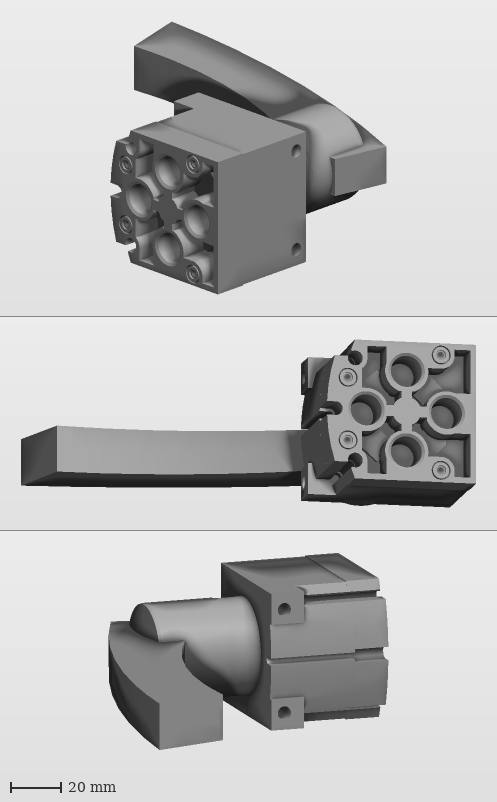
import cadquery as cq
import math

OVERALL_LENGTH = 156.8

PLATE_THICKNESS = 14.0
HOUSING_REAR = 49.2
NECK_REAR = 61.6
EAR_FRONT = 35.5

PLATE_HALF_HEIGHT = 56.3 / 2
HOUSING_HALF_HEIGHT = 27.8
BLOCK_RIGHT = PLATE_HALF_HEIGHT
BLOCK_WIDTH = 60.5
BLOCK_LEFT = BLOCK_RIGHT - BLOCK_WIDTH
SHOULDER_X = -29.2
LIP_X, LIP_Z = -22.6, 24.0
NOTCH_X = -21.0
LEDGE_Z = 21.5
CHANNEL_X, CHANNEL_Z = -20.9, 20.7
PLATE_CHANNEL_DIAMETER = 6.0
HOUSING_CHANNEL_DIAMETER = 5.5
PLATE_SLOT_WIDTH = 5.5
PLATE_SLOT_END = -26.0
HOUSING_SLOT_WIDTH = 3.0
HOUSING_SLOT_END = -26.8

EAR_INNER_Z = 15.2
EAR_HOLE_DIAMETER = 5.5
EAR_SCREW_HOLE_DIAMETER = 4.0
EAR_SCREW_HOLE_DEPTH = 3.9
EAR_HOLE_Y, EAR_HOLE_Z = 43.7, 21.0

PORT_OFFSET = 16.3
PORT_MOUTH_DIAMETER = 14.7
PORT_TOP_DIAMETER = 12.5
PORT_BOTTOM_DIAMETER = 10.8
PORT_CHAMFER_DEPTH = 0.8
PORT_DEPTH = 12.5
PORT_ANGLES = (0, 90, 180, 270)

LEFT_SCREW_X, LEFT_SCREW_Z = -23.8, 12.7
RIGHT_SCREW_X, RIGHT_SCREW_Z = 14.0, 23.4
SCREW_CENTRES = [
    (LEFT_SCREW_X, LEFT_SCREW_Z),
    (LEFT_SCREW_X, -LEFT_SCREW_Z),
    (RIGHT_SCREW_X, RIGHT_SCREW_Z),
    (RIGHT_SCREW_X, -RIGHT_SCREW_Z),
]
SCREW_RECESS_DIAMETER = 7.7
SCREW_HEAD_DIAMETER = 6.6
SCREW_RECESS_DEPTH = 1.5
SOCKET_DIAMETER = 4.0
SOCKET_DEPTH = 1.0
SOCKET_CONE_DIAMETER = 3.0
SOCKET_CONE_DEPTH = 1.4

POCKET_DEPTH = 12.5
POCKET_WALL = 2.4
POCKET_LIMIT = PLATE_HALF_HEIGHT - POCKET_WALL
POCKET_LEFT = -18.2
PORT_BOSS_RADIUS = 8.8
PORT_BOSS_FLAT = 8.2
SCREW_BOSS_RADIUS = 5.5
CHANNEL_BOSS_RADIUS = 4.9
POST_RADIUS = 5.8
POST_RIB_WIDTH = 4.4
WEB_HEIGHT = 1.4
WEB_INNER = 14.0
WEB_OUTER_RIGHT = [(11.5, 17.7), (18.3, 10.5), (18.3, 8.2)]
WEB_OUTER_LEFT = [(-9.7, 18.5), (-17.0, 12.2), (-18.2, 9.7)]

NECK_RADIUS = 19.9
NECK_WAIST_RADIUS = 19.6
HUB_RADIUS = 40.0 / 2
HUB_EDGE = 90.2
HUB_EDGE_CHAMFER_LENGTH = 1.3
HUB_EDGE_CHAMFER_WIDTH = 0.3
DOME_HEIGHT = 2.8

HANDLE_TIP_X = BLOCK_RIGHT - OVERALL_LENGTH
HANDLE_TIP_Y = 129.7
HANDLE_TIP_HALF_THICKNESS = 9.4
HANDLE_ROOT_X, HANDLE_ROOT_Y = 25.9, 96.5
HANDLE_ROOT_HALF_THICKNESS = 7.8
HANDLE_UPPER_MID = (-53.0, 120.9)
HANDLE_TIP_INNER = (-120.3, 100.2)
HANDLE_LOWER_MID = (-74.3, 98.3)
HANDLE_LOWER_END = (-19.8, 81.0)
HANDLE_HEEL_X, HANDLE_HEEL_Y = 21.3, 72.1


def section_at(y):
    """Sketch plane facing -Y, with local axes X and Z; a negative extrusion runs towards +Y."""
    return cq.Workplane("XZ", origin=(0, y, 0))


def box_between(x_min, x_max, y_min, y_max, z_min, z_max):
    size = (x_max - x_min, y_max - y_min, z_max - z_min)
    return cq.Workplane("XY").box(*size, centered=False).translate((x_min, y_min, z_min))


def rod(x, z, diameter, y_min, y_max):
    return section_at(y_min).center(x, z).circle(diameter / 2).extrude(y_min - y_max)


def cone(x, z, front_diameter, rear_diameter, y_min, y_max):
    solid = cq.Solid.makeCone(
        front_diameter / 2, rear_diameter / 2, y_max - y_min, cq.Vector(x, y_min, z), cq.Vector(0, 1, 0)
    )
    return cq.Workplane(solid)


def prism(points, y_min, y_max):
    return section_at(y_min).polyline(points).close().extrude(y_min - y_max)



def block(half_height, channel_diameter, slot_width, slot_end, y_min, y_max):
    """Square block with a bowed left side, notched corners, screw channels and a side slot."""
    upper = [
        (BLOCK_RIGHT, half_height),
        (NOTCH_X, half_height),
        (LIP_X, LIP_Z),
        (CHANNEL_X, LEDGE_Z),
        (SHOULDER_X, LEDGE_Z),
    ]
    lower = [(x, -z) for x, z in reversed(upper)]
    solid = (
        section_at(y_min)
        .polyline(upper)
        .threePointArc((BLOCK_LEFT, 0), lower[0])
        .polyline(lower, includeCurrent=False)
        .close()
        .extrude(y_min - y_max)
    )
    for z in (CHANNEL_Z, -CHANNEL_Z):
        solid = solid.cut(rod(CHANNEL_X, z, channel_diameter, y_min, y_max))
    slot_half = slot_width / 2
    slot_centre = slot_end - slot_half
    slot = box_between(BLOCK_LEFT, slot_centre, y_min, y_max, -slot_half, slot_half)
    slot = slot.union(rod(slot_centre, 0, slot_width, y_min, y_max))
    return solid.cut(slot)



def port_centres():
    angles = [math.radians(degrees) for degrees in PORT_ANGLES]
    return [(PORT_OFFSET * math.cos(angle), PORT_OFFSET * math.sin(angle)) for angle in angles]


def standing_box(x_min, x_max, z_min, z_max):
    """Box as deep as the relief pockets."""
    return box_between(x_min, x_max, 0, POCKET_DEPTH, z_min, z_max)


def standing_rod(x, z, radius):
    """Cylinder as long as the relief pockets are deep."""
    return rod(x, z, 2 * radius, 0, POCKET_DEPTH)


def centre_islands():
    """Central post with a cross of ribs running out to the port bosses."""
    rib = POST_RIB_WIDTH / 2
    return (
        standing_rod(0, 0, POST_RADIUS)
        .union(standing_box(-PORT_OFFSET, PORT_OFFSET, -rib, rib))
        .union(standing_box(-rib, rib, -PORT_OFFSET, PORT_OFFSET))
    )


def port_islands():
    """Port bosses, cut flat towards the centre and joined to the plate's outer walls."""
    reach = PLATE_HALF_HEIGHT
    flat = PORT_BOSS_FLAT
    islands = standing_box(PORT_OFFSET, reach, -flat, flat)
    islands = islands.union(standing_box(-reach, -PORT_OFFSET, -PORT_BOSS_RADIUS, PORT_BOSS_RADIUS))
    islands = islands.union(standing_box(-flat, flat, PORT_OFFSET, reach))
    islands = islands.union(standing_box(-flat, flat, -reach, -PORT_OFFSET))
    for x, z in port_centres():
        islands = islands.union(standing_rod(x, z, PORT_BOSS_RADIUS))
    return islands.cut(standing_box(-flat, flat, -flat, flat))


def upper_corner_islands():
    """Material around the upper right screw and the upper left screw channel."""
    reach = PLATE_HALF_HEIGHT
    screw_x, screw_z = RIGHT_SCREW_X, RIGHT_SCREW_Z
    return (
        standing_rod(screw_x, screw_z, SCREW_BOSS_RADIUS)
        .union(standing_box(0, screw_x, screw_z - SCREW_BOSS_RADIUS, reach))
        .union(standing_box(screw_x, screw_x + SCREW_BOSS_RADIUS, screw_z, reach))
        .union(standing_rod(CHANNEL_X, CHANNEL_Z, CHANNEL_BOSS_RADIUS))
        .union(standing_box(-reach, CHANNEL_X + CHANNEL_BOSS_RADIUS, CHANNEL_Z, reach))
    )


def pocket_webs():
    """Low raised floors linking neighbouring port bosses, one in each pocket."""
    webs = []
    for side in (1, -1):
        for outer, direction in ((WEB_OUTER_RIGHT, 1), (WEB_OUTER_LEFT, -1)):
            inner = [(direction * WEB_INNER, 0), (0, WEB_INNER)]
            points = [(x, side * z) for x, z in inner + outer]
            webs.append(prism(points, POCKET_DEPTH - WEB_HEIGHT, POCKET_DEPTH))
    return webs


def relief_pockets():
    corners = upper_corner_islands()
    islands = [centre_islands(), port_islands(), corners, corners.mirror("XY")]
    pockets = standing_box(POCKET_LEFT, POCKET_LIMIT, -POCKET_LIMIT, POCKET_LIMIT)
    for standing in islands + pocket_webs():
        pockets = pockets.cut(standing)
    return pockets


def port(x, z):
    mouth = cone(x, z, PORT_MOUTH_DIAMETER, PORT_TOP_DIAMETER, 0, PORT_CHAMFER_DEPTH)
    bore = cone(x, z, PORT_TOP_DIAMETER, PORT_BOTTOM_DIAMETER, PORT_CHAMFER_DEPTH, PORT_DEPTH)
    return mouth.union(bore)


def screw_recess(x, z):
    """Ring gap around a flush screw head, and the head's socket with a conical bottom."""
    ring = rod(x, z, SCREW_RECESS_DIAMETER, 0, SCREW_RECESS_DEPTH).cut(
        rod(x, z, SCREW_HEAD_DIAMETER, 0, SCREW_RECESS_DEPTH)
    )
    socket = rod(x, z, SOCKET_DIAMETER, 0, SOCKET_DEPTH)
    tip = cone(x, z, SOCKET_CONE_DIAMETER, 0, SOCKET_DEPTH, SOCKET_DEPTH + SOCKET_CONE_DEPTH)
    return ring.union(socket.union(tip))


def make_port_plate():
    plate = block(
        PLATE_HALF_HEIGHT, PLATE_CHANNEL_DIAMETER, PLATE_SLOT_WIDTH, PLATE_SLOT_END, 0, PLATE_THICKNESS
    ).cut(relief_pockets())
    for x, z in port_centres():
        plate = plate.cut(port(x, z))
    for x, z in SCREW_CENTRES:
        plate = plate.cut(screw_recess(x, z))
    return plate



def make_housing():
    housing = block(
        HOUSING_HALF_HEIGHT,
        HOUSING_CHANNEL_DIAMETER,
        HOUSING_SLOT_WIDTH,
        HOUSING_SLOT_END,
        PLATE_THICKNESS,
        HOUSING_REAR,
    )
    ear_right = CHANNEL_X + HOUSING_CHANNEL_DIAMETER
    for side in (1, -1):
        z_min, z_max = sorted((side * EAR_INNER_Z, side * HOUSING_HALF_HEIGHT))
        ear = box_between(BLOCK_LEFT, ear_right, EAR_FRONT, HOUSING_REAR, z_min, z_max)
        hole = (
            cq.Workplane("YZ", origin=(BLOCK_LEFT, EAR_HOLE_Y, side * EAR_HOLE_Z))
            .circle(EAR_HOLE_DIAMETER / 2)
            .extrude(BLOCK_RIGHT - BLOCK_LEFT)
        )
        screw_hole = rod(
            CHANNEL_X,
            side * CHANNEL_Z,
            EAR_SCREW_HOLE_DIAMETER,
            EAR_FRONT,
            EAR_FRONT + EAR_SCREW_HOLE_DEPTH,
        )
        housing = housing.union(ear).cut(hole).cut(screw_hole)
    return housing



def make_neck():
    """Slightly waisted collar between the housing and the lever hub."""
    return (
        cq.Workplane("XY")
        .moveTo(0, HOUSING_REAR)
        .lineTo(NECK_RADIUS, HOUSING_REAR)
        .threePointArc((NECK_WAIST_RADIUS, (HOUSING_REAR + NECK_REAR) / 2), (NECK_RADIUS, NECK_REAR))
        .lineTo(0, NECK_REAR)
        .close()
        .revolve(360, (0, 0, 0), (0, 1, 0))
    )



def make_hub():
    """Cylinder with a chamfered rear edge and a shallow spherical dome."""
    rim_radius = HUB_RADIUS - HUB_EDGE_CHAMFER_WIDTH
    rim_y = HUB_EDGE + HUB_EDGE_CHAMFER_LENGTH
    dome_radius = (rim_radius**2 + DOME_HEIGHT**2) / (2 * DOME_HEIGHT)
    apex_y = rim_y + DOME_HEIGHT
    half_rim = rim_radius / 2
    half_y = apex_y - dome_radius + math.sqrt(dome_radius**2 - half_rim**2)
    return (
        cq.Workplane("XY")
        .moveTo(0, NECK_REAR)
        .lineTo(HUB_RADIUS, NECK_REAR)
        .lineTo(HUB_RADIUS, HUB_EDGE)
        .lineTo(rim_radius, rim_y)
        .threePointArc((half_rim, half_y), (0, apex_y))
        .close()
        .revolve(360, (0, 0, 0), (0, 1, 0))
    )


def make_handle():
    """Curved bar that tapers in thickness from its free end to the hub."""
    thickness = 2 * HANDLE_TIP_HALF_THICKNESS
    bar = (
        cq.Workplane("XY", origin=(0, 0, -HANDLE_TIP_HALF_THICKNESS))
        .moveTo(HANDLE_TIP_X, HANDLE_TIP_Y)
        .threePointArc(HANDLE_UPPER_MID, (HANDLE_ROOT_X, HANDLE_ROOT_Y))
        .lineTo(HANDLE_HEEL_X, HANDLE_HEEL_Y)
        .lineTo(0, HANDLE_HEEL_Y)
        .lineTo(*HANDLE_LOWER_END)
        .threePointArc(HANDLE_LOWER_MID, HANDLE_TIP_INNER)
        .close()
        .extrude(thickness)
    )
    taper = prism(
        [
            (HANDLE_TIP_X, -HANDLE_TIP_HALF_THICKNESS),
            (HANDLE_ROOT_X, -HANDLE_ROOT_HALF_THICKNESS),
            (HANDLE_ROOT_X, HANDLE_ROOT_HALF_THICKNESS),
            (HANDLE_TIP_X, HANDLE_TIP_HALF_THICKNESS),
        ],
        0,
        HANDLE_TIP_Y,
    )
    return bar.intersect(taper)


def make_lever():
    return make_hub().union(make_handle())


port_plate = make_port_plate()
housing = make_housing()
neck = make_neck()
lever = make_lever()

bodies = [port_plate, housing, neck, lever]
result = cq.Compound.makeCompound([body.solids().val() for body in bodies])